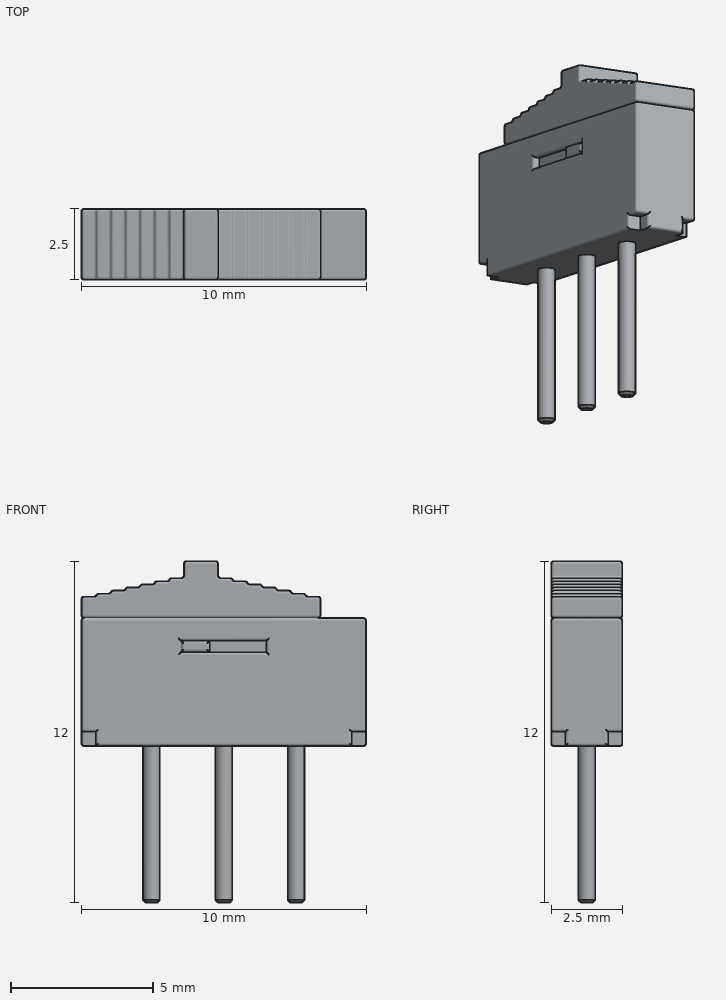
import cadquery as cq
import math


EDGE_RADIUS = 0.1

HOUSING_LENGTH = 10.0
WIDTH = 2.5
HOUSING_HEIGHT = 4.5
CORNER_NOTCH = 0.5

WINDOW_LENGTH = 3.0
WINDOW_HEIGHT = 0.4
WINDOW_DEPTH = 0.25
WINDOW_Z = 3.5

ACTUATOR_LENGTH = 8.4
ACTUATOR_X = (ACTUATOR_LENGTH - HOUSING_LENGTH) / 2
KNOB_LENGTH = 1.2
KNOB_TOP = 6.5
TOP_STEP_Z = 5.9
BOTTOM_STEP_Z = 5.25
STEP_COUNT = 7
STEP_PITCH = 0.512
STEP_RISE = (TOP_STEP_Z - BOTTOM_STEP_Z) / (STEP_COUNT - 1)
CREST_RADIUS = 0.101

TAB_LENGTH = 1.0
STEM_X = (TAB_LENGTH - WINDOW_LENGTH) / 2
STEM_WIDTH = WIDTH - 2 * WINDOW_DEPTH
STEM_BOTTOM = WINDOW_Z - WINDOW_HEIGHT / 2

PIN_DIAMETER = 0.6
PIN_LENGTH = 5.5
PIN_PITCH = 2.54
PIN_COUNT = 3
PIN_TIP_CHAMFER = 0.1


def box(length, width, bottom, top, x=0.0, y=0.0):
    """Block centred on (x, y) that spans the heights bottom to top."""
    return cq.Workplane("XY", origin=(x, y, bottom)).box(
        length, width, top - bottom, centered=(True, True, False)
    )


def make_stem():
    """Stem under the cap; its sides lie flush with the window floors."""
    return box(TAB_LENGTH, STEM_WIDTH, STEM_BOTTOM, HOUSING_HEIGHT, STEM_X)


def make_housing():
    """Block with notched bottom corners, two snap windows and a socket for the stem."""
    body = box(HOUSING_LENGTH, WIDTH, 0, HOUSING_HEIGHT)

    notch_span = 2 * CORNER_NOTCH
    for side_x in (-1, 1):
        for side_y in (-1, 1):
            corner_x = side_x * HOUSING_LENGTH / 2
            corner_y = side_y * WIDTH / 2
            body = body.cut(box(notch_span, notch_span, 0, CORNER_NOTCH, corner_x, corner_y))

    body = body.faces("<X or >X or <Y or >Y").edges().fillet(EDGE_RADIUS)

    window_bottom = WINDOW_Z - WINDOW_HEIGHT / 2
    window_top = WINDOW_Z + WINDOW_HEIGHT / 2
    for side_y in (-1, 1):
        wall_y = side_y * WIDTH / 2
        body = body.cut(box(WINDOW_LENGTH, 2 * WINDOW_DEPTH, window_bottom, window_top, 0, wall_y))
        rim = cq.selectors.BoxSelector(
            (-WINDOW_LENGTH, wall_y - EDGE_RADIUS, WINDOW_Z - WINDOW_HEIGHT),
            (WINDOW_LENGTH, wall_y + EDGE_RADIUS, WINDOW_Z + WINDOW_HEIGHT),
        )
        body = body.edges(rim).fillet(EDGE_RADIUS)

    return body.cut(make_stem()).solids()


def make_cap():
    """Cap of the actuator: a knob between two stairs of rounded steps, all edges rounded."""
    turn = math.acos(1 - STEP_RISE / 2 / CREST_RADIUS)
    riser_half = CREST_RADIUS * math.sin(turn)
    arc_x = CREST_RADIUS * math.sin(turn / 2)
    arc_drop = CREST_RADIUS * (1 - math.cos(turn / 2))

    half_length = ACTUATOR_LENGTH / 2
    half_knob = KNOB_LENGTH / 2
    outline = (
        cq.Workplane("XZ", origin=(ACTUATOR_X, WIDTH / 2, 0))
        .moveTo(0, HOUSING_HEIGHT)
        .lineTo(0, KNOB_TOP)
        .lineTo(half_knob, KNOB_TOP)
        .lineTo(half_knob, TOP_STEP_Z + EDGE_RADIUS)
        .radiusArc((half_knob + EDGE_RADIUS, TOP_STEP_Z), -EDGE_RADIUS)
    )
    for step in range(1, STEP_COUNT):
        riser_x = half_knob + step * STEP_PITCH
        upper_z = TOP_STEP_Z - (step - 1) * STEP_RISE
        lower_z = upper_z - STEP_RISE
        outline = (
            outline.lineTo(riser_x - riser_half, upper_z)
            .threePointArc(
                (riser_x - riser_half + arc_x, upper_z - arc_drop),
                (riser_x, upper_z - STEP_RISE / 2),
            )
            .threePointArc(
                (riser_x + riser_half - arc_x, lower_z + arc_drop),
                (riser_x + riser_half, lower_z),
            )
        )

    half_cap = (
        outline.lineTo(half_length, BOTTOM_STEP_Z)
        .lineTo(half_length, HOUSING_HEIGHT)
        .close()
        .extrude(WIDTH)
    )
    cap = half_cap.union(half_cap.mirror("YZ", (ACTUATOR_X, 0, 0))).clean()

    cap = cap.edges("|Y").edges(">X or <X or >Z or <Z").fillet(EDGE_RADIUS)
    return cap.faces("<Y or >Y").edges().fillet(EDGE_RADIUS)


def make_actuator():
    """Cap, stem and the two snap tabs that show in the windows, as one solid."""
    tabs = box(TAB_LENGTH, WIDTH, STEM_BOTTOM, STEM_BOTTOM + WINDOW_HEIGHT, STEM_X)
    tabs = tabs.faces("<Y or >Y").edges().fillet(EDGE_RADIUS)
    return make_cap().union(make_stem()).union(tabs).solids()


def make_pin(x):
    """Round pin with a chamfered tip, butted against the underside of the housing."""
    pin = cq.Workplane("XY", origin=(x, 0, -PIN_LENGTH)).circle(PIN_DIAMETER / 2).extrude(PIN_LENGTH)
    return pin.faces("<Z").edges().chamfer(PIN_TIP_CHAMFER).solids()


housing = make_housing()
actuator = make_actuator()
pins = [make_pin((index - (PIN_COUNT - 1) / 2) * PIN_PITCH) for index in range(PIN_COUNT)]

result = cq.Compound.makeCompound([housing.val(), actuator.val(), *[pin.val() for pin in pins]])